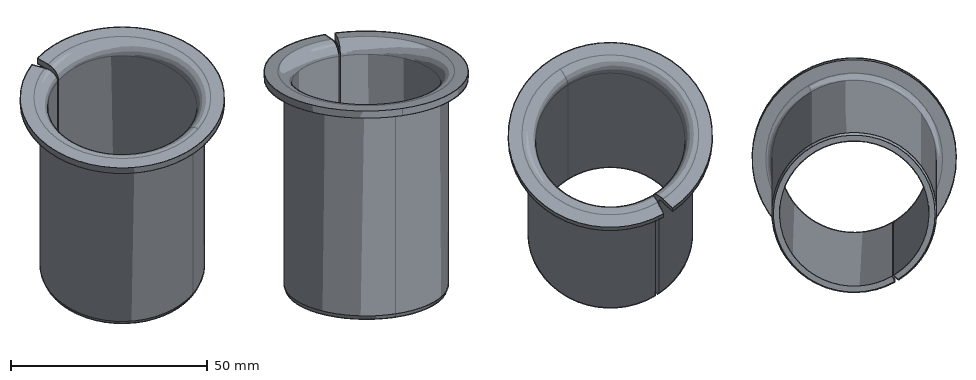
import cadquery as cq
import math

length = 60.0
flange_diameter = 52.0
tube_diameter = 42.0
wall = 2.0
outer_bend_radius = 1.5
chamfer_height = 1.15
chamfer_width = 0.4
bore_gap = 0.4
slit_half_angle = 9.5

flange_radius = flange_diameter / 2
outer_radius = tube_diameter / 2
bore_radius = outer_radius - wall
inner_bend_radius = outer_bend_radius + wall
bend_center_radius = outer_radius + outer_bend_radius
bend_center_z = length - inner_bend_radius
diagonal = math.sqrt(0.5)


def bend_midpoint(radius):
    """Point halfway along a bend of the given radius, as (radius, height)."""
    return (bend_center_radius - radius * diagonal, bend_center_z + radius * diagonal)


def make_flanged_tube():
    """Revolve the wall section: tube, quarter-round bend and flat flange."""
    section = (
        cq.Workplane("XZ")
        .moveTo(bore_radius, 0)
        .lineTo(outer_radius - chamfer_width, 0)
        .lineTo(outer_radius, chamfer_height)
        .lineTo(outer_radius, bend_center_z)
        .threePointArc(bend_midpoint(outer_bend_radius), (bend_center_radius, length - wall))
        .lineTo(flange_radius, length - wall)
        .lineTo(flange_radius, length)
        .lineTo(bend_center_radius, length)
        .threePointArc(bend_midpoint(inner_bend_radius), (bore_radius, bend_center_z))
        .close()
    )
    return section.revolve(360, (0, 0, 0), (0, 1, 0))


def make_slit():
    """Full-height wedge through the wall on the -X side, widening outward."""
    slope = math.tan(math.radians(slit_half_angle))
    apex_radius = bore_radius - bore_gap / 2 / slope
    half_opening = (flange_radius - apex_radius) * slope
    return (
        cq.Workplane("XY")
        .moveTo(-apex_radius, 0)
        .lineTo(-flange_radius, half_opening)
        .lineTo(-flange_radius, -half_opening)
        .close()
        .extrude(length)
    )


result = make_flanged_tube().cut(make_slit())